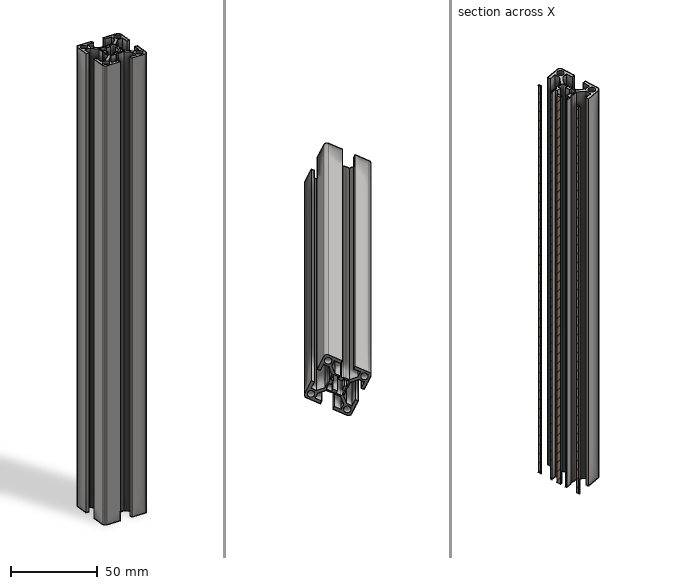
import cadquery as cq
import math

side = 30.0
length = 300.0
corner_radius = 2.0

slot_opening = 8.0
lip_thickness = 1.95
chamber_width = 16.6

core_width = 11.8
core_wall = 0.85
cavity_radius = 0.8
web_thickness = 1.9
rib_width = 2.8
rib_height = 1.55

notch_depth = 0.63
notch_steep_reach = 0.9
notch_knee_reach = 0.95
notch_knee_depth = 0.23
notch_shallow_reach = 2.35

bore_diameter = 4.2
bore_offset = 11.55

half_side = side / 2
half_opening = slot_opening / 2
half_chamber = chamber_width / 2
chamber_top = half_side - lip_thickness
slot_floor = core_width / 2
cavity_width = core_width - 2 * core_wall
web_offset = web_thickness / math.sqrt(2)
quarter_turns = [0, 90, 180, 270]


def prism(width, depth, y=0):
    """Full-length rectangular bar centred at (0, y)."""
    return cq.Workplane("XY").center(0, y).rect(width, depth).extrude(length)


def around_axis(shape):
    """Union of four copies of a shape, a quarter turn apart about Z."""
    copies = cq.Workplane("XY")
    for angle in quarter_turns:
        copies = copies.union(shape.rotate((0, 0, 0), (0, 0, 1), angle))
    return copies


def t_slot():
    """Slot on the +Y side: narrow opening, wide chamber, 45 degree web flanks, notched floor."""
    right_wall = [
        (half_opening, half_side),
        (half_opening, chamber_top),
        (half_chamber, chamber_top),
        (half_chamber, half_chamber + web_offset),
        (slot_floor - web_offset, slot_floor),
    ]
    notch = [
        (notch_steep_reach, slot_floor),
        (0, slot_floor - notch_depth),
        (-notch_knee_reach, slot_floor - notch_knee_depth),
        (-notch_shallow_reach, slot_floor),
    ]
    left_wall = [(-x, y) for x, y in reversed(right_wall)]
    outline = right_wall + notch + left_wall
    return cq.Workplane("XY").polyline(outline).close().extrude(length)


def core_cavity():
    """Square hollow of the core with rounded corners and a rib in the middle of each wall."""
    rib = prism(rib_width, rib_height, cavity_width / 2 - rib_height / 2)
    cavity = prism(cavity_width, cavity_width).edges("|Z").fillet(cavity_radius)
    return cavity.cut(around_axis(rib))


def corner_bores():
    """Four round through bores, one in each corner block."""
    bore = cq.Workplane("XY").center(bore_offset, bore_offset).circle(bore_diameter / 2).extrude(length)
    return around_axis(bore)


blank = prism(side, side).edges("|Z").fillet(corner_radius)
result = blank.cut(around_axis(t_slot())).cut(core_cavity()).cut(corner_bores())